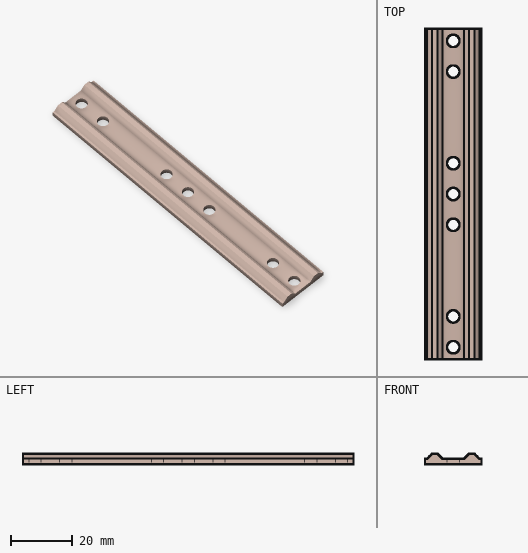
import cadquery as cq

length = 108.0
width = 18.6
plate_height = 1.8

total_height = 3.5
ridge_outer_crest = 6.9
ridge_inner_crest = 5.1
flank_run = total_height - plate_height
ridge_outer_foot = ridge_outer_crest + flank_run
ridge_inner_foot = ridge_inner_crest - flank_run

hole_diameter = 4.0
inner_hole_offset = 10.0
outer_hole_offset = 50.0
hole_offsets = [inner_hole_offset, outer_hole_offset - inner_hole_offset, outer_hole_offset]


def make_plate():
    return cq.Workplane("XY").box(width, length, plate_height, centered=(True, True, False))


def make_ridge(side):
    """Ridge on the +X (side = 1) or -X (side = -1) half of the plate."""
    profile = [
        (side * ridge_outer_foot, 0),
        (side * ridge_outer_foot, plate_height),
        (side * ridge_outer_crest, total_height),
        (side * ridge_inner_crest, total_height),
        (side * ridge_inner_foot, plate_height),
        (side * ridge_inner_foot, 0),
    ]
    return cq.Workplane("XZ").polyline(profile).close().extrude(length / 2, both=True)


def make_holes():
    centres = [(0, 0)]
    for offset in hole_offsets:
        centres.append((0, offset))
        centres.append((0, -offset))
    return cq.Workplane("XY").pushPoints(centres).circle(hole_diameter / 2).extrude(total_height)


rail = make_plate()
for side in (-1, 1):
    rail = rail.union(make_ridge(side))
result = rail.cut(make_holes())